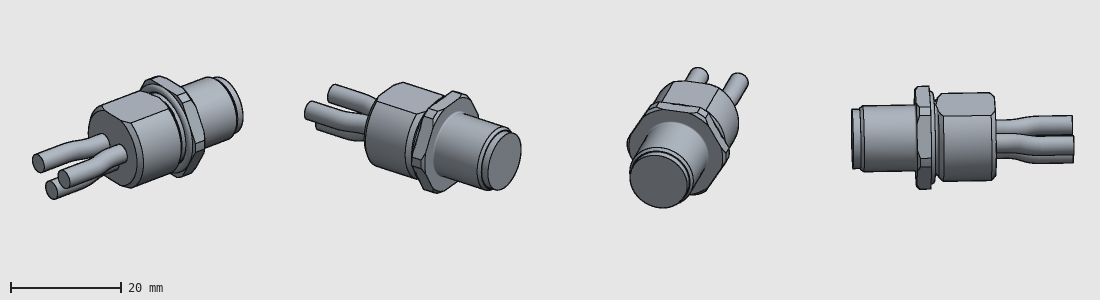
import cadquery as cq
import math


plug_length = 14.05
tip_diameter = 10.8
tip_length = 1.35
barrel_diameter = 12.0
barrel_chamfer_length = 0.6
barrel_chamfer_width = 0.45
barrel_root_fillet = 0.3

flange_thickness = 2.55
flange_across_flats = 17.0
flange_corner_diameter = 18.7
flange_chamfer = 0.5

seal_section_diameter = 1.5
seal_outer_diameter = 16.9

neck_diameter = 13.5
shoulder_depth = 1.45
body_diameter = 16.0
body_depth = 11.8
body_chamfer = 0.85
body_across_flats = neck_diameter

wire_diameter = 3.5
wire_tail_depth = 25.95
wire_tail_length = 6.0
wire_bend_length = 6.0
wire_bend_offset = 1.2
side_wire_start = 2.55
lower_wire_start = 2.65
lower_wire_shift = 0.1


def revolve(profile):
    """Turn a half outline about the Y axis, with X as the radius."""
    return profile.close().revolve(360, (0, 0, 0), (0, 1, 0))


def make_plug():
    tip_radius = tip_diameter / 2
    barrel_radius = barrel_diameter / 2
    barrel_end = plug_length - tip_length
    root_end = flange_thickness + barrel_root_fillet
    profile = (
        cq.Workplane("XY")
        .lineTo(barrel_radius + barrel_root_fillet, 0)
        .lineTo(barrel_radius + barrel_root_fillet, flange_thickness)
        .radiusArc((barrel_radius, root_end), barrel_root_fillet)
        .lineTo(barrel_radius, barrel_end - barrel_chamfer_length)
        .lineTo(barrel_radius - barrel_chamfer_width, barrel_end)
        .lineTo(tip_radius, barrel_end)
        .lineTo(tip_radius, plug_length)
        .lineTo(0, plug_length)
    )
    return revolve(profile)


def make_flange():
    """Hexagon with flats facing +Z and -Z, its corners turned and chamfered."""
    across_corners = flange_across_flats / math.cos(math.pi / 6)
    hexagon = cq.Workplane("XZ").polygon(6, across_corners).extrude(-flange_thickness)
    corner_radius = flange_corner_diameter / 2
    profile = (
        cq.Workplane("XY")
        .lineTo(corner_radius, 0)
        .lineTo(corner_radius, flange_thickness - flange_chamfer)
        .lineTo(corner_radius - flange_chamfer, flange_thickness)
        .lineTo(0, flange_thickness)
    )
    return hexagon.intersect(revolve(profile))


def make_seal():
    ring_radius = (seal_outer_diameter - seal_section_diameter) / 2
    section = cq.Workplane("XY").center(ring_radius, 0).circle(seal_section_diameter / 2)
    return section.revolve(360, (-ring_radius, 0, 0), (-ring_radius, 1, 0))


def make_body():
    """Turned body with a filleted neck and two flats facing +Z and -Z."""
    neck_radius = neck_diameter / 2
    body_radius = body_diameter / 2
    face_radius = body_radius - body_chamfer
    neck_fillet = face_radius - neck_radius
    profile = (
        cq.Workplane("XY")
        .lineTo(neck_radius, 0)
        .lineTo(neck_radius, neck_fillet - shoulder_depth)
        .radiusArc((face_radius, -shoulder_depth), -neck_fillet)
        .lineTo(body_radius, -shoulder_depth - body_chamfer)
        .lineTo(body_radius, body_chamfer - body_depth)
        .lineTo(face_radius, -body_depth)
        .lineTo(0, -body_depth)
    )
    flats = cq.Workplane("XY").box(body_diameter, 2 * body_depth, body_across_flats)
    return revolve(profile).intersect(flats)


def make_wire(start):
    """Wire along -Y, bent outward in the XY plane by two equal opposite arcs."""
    bend_end = wire_tail_length - wire_tail_depth
    bend_start = bend_end + wire_bend_length
    middle = (start + wire_bend_offset / 2, (bend_start + bend_end) / 2)
    path = (
        cq.Workplane("XY")
        .moveTo(start, -body_depth)
        .lineTo(start, bend_start)
        .tangentArcPoint(middle, relative=False)
        .tangentArcPoint((start + wire_bend_offset, bend_end), relative=False)
        .lineTo(start + wire_bend_offset, -wire_tail_depth)
    )
    section = cq.Workplane("XZ", origin=(start, -body_depth, 0)).circle(wire_diameter / 2)
    return section.sweep(path)


right_wire = make_wire(side_wire_start)
left_wire = right_wire.mirror("YZ")
lower_wire = (
    make_wire(lower_wire_start)
    .rotate((0, 0, 0), (0, 1, 0), 90)
    .translate((lower_wire_shift, 0, 0))
)

result = make_plug().union(make_flange()).union(make_seal()).union(make_body())
for wire in (left_wire, right_wire, lower_wire):
    result = result.union(wire)